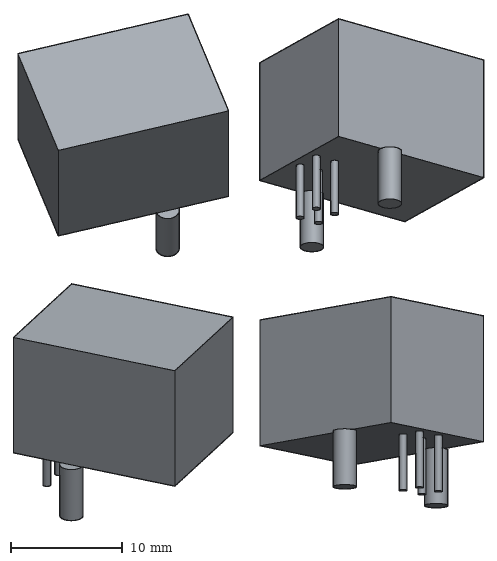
import cadquery as cq

total_height = 16.6
housing_width = 12.2
housing_length = 16.0
leg_length = 5.1
housing_height = total_height - leg_length
rear_face_y = housing_length / 2

overall_width = 14.15
post_diameter = 2.1
post_spacing = overall_width - post_diameter
post_setback = 5.71
post_y = rear_face_y - post_setback

pin_diameter = 0.71
pin_column_spacing = 2.49
pin_row_spacing = 2.01
rear_row_setback = 1.01
rear_row_y = rear_face_y - rear_row_setback


def make_housing():
    """Plain block standing on the legs."""
    base = cq.Workplane("XY").workplane(offset=leg_length)
    return base.rect(housing_width, housing_length).extrude(housing_height)


def make_leg(diameter, x, y):
    """Round leg from the ground up to the underside of the housing."""
    return cq.Workplane("XY").center(x, y).circle(diameter / 2).extrude(leg_length)


housing = make_housing()

posts = []
pins = []
for side in (-1, 1):
    posts.append(make_leg(post_diameter, side * post_spacing / 2, post_y).val())
    for row in range(2):
        pin_y = rear_row_y - row * pin_row_spacing
        pins.append(make_leg(pin_diameter, side * pin_column_spacing / 2, pin_y).val())

result = cq.Compound.makeCompound([housing.val(), *posts, *pins])